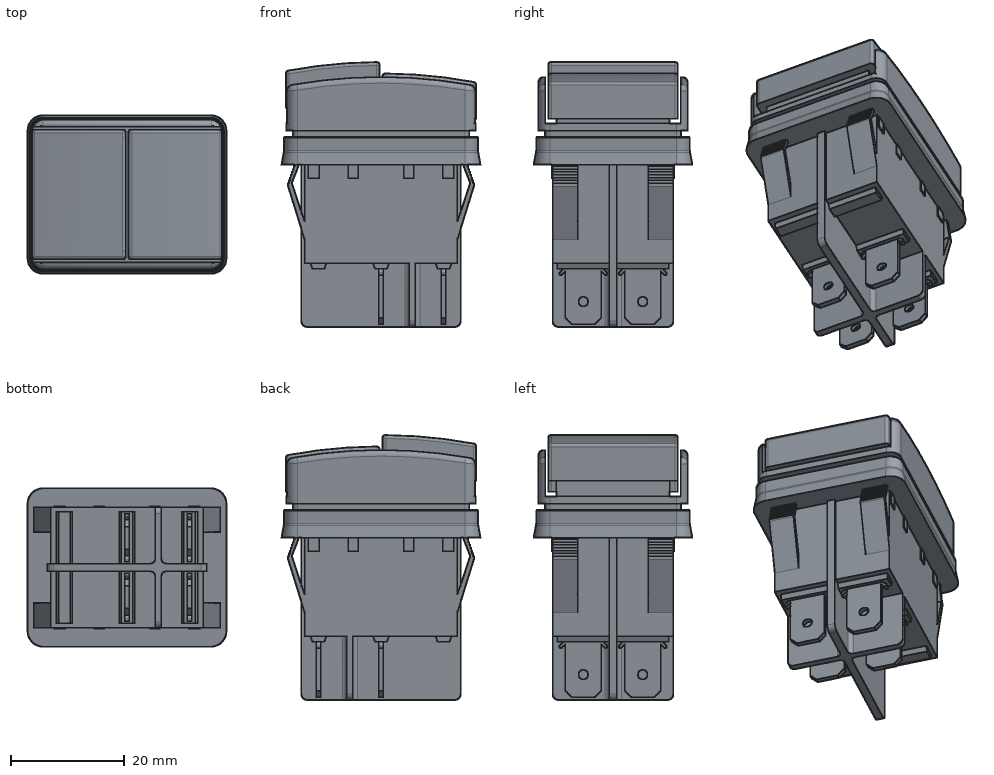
import cadquery as cq
import math


body_bottom_z = 11.2
bezel_bottom_z = 28.55
flare_top_z = 30.75
rim_bottom_z = 31.05
rim_edge_z = 33.25
rim_top_z = 33.4
housing_bottom_z = 34.55
floor_z = 35.8
wall_crown_z = 43.95
overall_height = 46.6

bezel_length = 35.0
bezel_width = 27.9
corner_x = 14.7
flare_bottom_radius = bezel_length / 2 - corner_x
corner_y = bezel_width / 2 - flare_bottom_radius
flare_top_radius = 2.4
rim_radius = 2.38
rim_edge_radius = 2.25
neck_radius = 0.85
housing_radius = 2.0

crown_radius = 89.0
wall_fillet = 1.03
channel_half_width = 11.9
cap_inner_x = 0.25
cap_outer_x = 16.75
cap_half_width = 11.4
cap_fillet = 0.55
raised_cap_bottom_z = 38.6
cap_travel = 2.0
pedestal_outer_x = 15.4
pedestal_half_width = 9.95

peak_x = cap_inner_x + cap_fillet
cap_crown_z = overall_height + crown_radius - math.sqrt(crown_radius**2 - peak_x**2)

body_length = 26.9
body_width = 21.25
body_half_x = body_length / 2
body_half_y = body_width / 2
pad_height = 2.38
pad_projection = 0.165
outer_pad_width = 1.95
outer_pad_x = 11.85
inner_pad_width = 1.75
inner_pad_x = 4.85

clip_width = 4.45
clip_bend_x = 16.35
clip_bend_z = 24.8
clip_foot_z = 15.42
clip_inner_foot_z = 18.6
clip_inner_bend_x = 15.65
clip_inner_bend_z = 25.3
clip_inner_top_x = 14.4
step_count = 7
stepped_height = 3.45
step_rise = stepped_height / step_count
step_run = 0.165

divider_half_x = 14.03
divider_thickness = 1.4
cross_x = 5.5
cross_thickness = 1.1
plate_corner_radius = 1.05
plate_joint_fillet = 0.8

terminal_pitch = 11.0
rib_height = 1.0
rib_top_width = 2.8
rib_bottom_width = 2.05
rib_length = 2 * 9.85
blade_y = 5.2
blade_width = 6.3
blade_thickness = 0.85
blade_bottom_z = 0.45
blade_chamfer = 1.15
blade_hole_diameter = 1.7
blade_hole_z = 4.47
barb_width = 0.55
barb_reach = 0.8
barb_tip_z = 9.4


def block(x_min, x_max, y_min, y_max, z_min, z_max):
    """Box given by its limits along each axis."""
    size = (x_max - x_min, y_max - y_min, z_max - z_min)
    return cq.Workplane("XY").box(*size, centered=False).translate((x_min, y_min, z_min))


def outline(radius):
    """Rounded rectangle with the shared corner centres."""
    return cq.Sketch().rect(2 * (corner_x + radius), 2 * (corner_y + radius)).vertices().fillet(radius)


def layer(bottom_radius, bottom_z, top_radius, top_z):
    """Rounded rectangular slab with straight or sloped sides."""
    bottom = outline(bottom_radius).moved(cq.Location(cq.Vector(0, 0, bottom_z)))
    top = outline(top_radius).moved(cq.Location(cq.Vector(0, 0, top_z)))
    return cq.Workplane("XY").placeSketch(bottom, top).loft(ruled=True)


def under_crown(x_min, x_max, half_width, bottom_z, crown_z):
    """Block below a cylinder whose axis runs along Y and whose crest is at X = 0."""
    def crown_at(x):
        return crown_z - crown_radius + math.sqrt(crown_radius**2 - x**2)

    x_mid = (x_min + x_max) / 2
    profile = (
        cq.Workplane("XZ")
        .moveTo(x_min, bottom_z)
        .lineTo(x_max, bottom_z)
        .lineTo(x_max, crown_at(x_max))
        .threePointArc((x_mid, crown_at(x_mid)), (x_min, crown_at(x_min)))
        .close()
    )
    return profile.extrude(half_width, both=True)


def make_bezel():
    """Flared bezel with a bevelled rim, and the neck above it."""
    flare = layer(flare_bottom_radius, bezel_bottom_z, flare_top_radius, flare_top_z)
    blend = layer(flare_top_radius, flare_top_z, rim_radius, rim_bottom_z)
    rim = layer(rim_radius, rim_bottom_z, rim_radius, rim_edge_z)
    edge = layer(rim_radius, rim_edge_z, rim_edge_radius, rim_top_z)
    neck = layer(neck_radius, rim_top_z, neck_radius, housing_bottom_z)
    return flare.union(blend).union(rim).union(edge).union(neck)


def make_housing():
    """Floor slab with two crowned side walls."""
    half_x = corner_x + housing_radius
    half_y = corner_y + housing_radius
    tall = layer(housing_radius, housing_bottom_z, housing_radius, cap_crown_z)
    crowned = tall.intersect(under_crown(-half_x, half_x, half_y, housing_bottom_z, wall_crown_z))
    rounded = crowned.faces(">Z").edges().fillet(wall_fillet)
    channel = block(-half_x, half_x, -channel_half_width, channel_half_width, floor_z, cap_crown_z)
    return rounded.cut(channel)


def make_cap(x_min, x_max, drop):
    """Rocker cap with every edge rounded except those of its flat bottom."""
    cap = under_crown(x_min, x_max, cap_half_width, raised_cap_bottom_z, cap_crown_z)
    cap = cap.edges("not <Z").fillet(cap_fillet)
    return cap.translate((0, 0, -drop))


def make_pedestal(x_min, x_max, top_z):
    """Block that carries a cap on the housing floor."""
    return block(x_min, x_max, -pedestal_half_width, pedestal_half_width, floor_z, top_z)


def make_rockers():
    """Raised cap on the -X side, pressed cap on the +X side, each on a pedestal."""
    pressed_bottom_z = raised_cap_bottom_z - cap_travel
    raised = make_cap(-cap_outer_x, -cap_inner_x, 0)
    pressed = make_cap(cap_inner_x, cap_outer_x, cap_travel)
    raised = raised.union(make_pedestal(-pedestal_outer_x, -cap_inner_x, raised_cap_bottom_z))
    pressed = pressed.union(make_pedestal(cap_inner_x, pedestal_outer_x, pressed_bottom_z))
    return raised.union(pressed)


def make_body():
    """Lower body with a row of small pads on both long sides."""
    body = block(-body_half_x, body_half_x, -body_half_y, body_half_y, body_bottom_z, bezel_bottom_z)
    pad_y = body_half_y + pad_projection
    pad_bottom_z = bezel_bottom_z - pad_height
    for centre, width in ((inner_pad_x, inner_pad_width), (outer_pad_x, outer_pad_width)):
        for x in (-centre, centre):
            pad = block(x - width / 2, x + width / 2, -pad_y, pad_y, pad_bottom_z, bezel_bottom_z)
            body = body.union(pad)
    return body


def make_clips():
    """Four bent spring clips, one at each end of the two short sides."""
    points = [(body_half_x, clip_foot_z), (clip_bend_x, clip_bend_z)]
    for step in range(step_count):
        x = clip_bend_x - step * step_run
        z = clip_bend_z + (step + 1) * step_rise
        points += [(x, z), (x - step_run, z)]
    points += [
        (clip_bend_x - step_count * step_run, bezel_bottom_z),
        (clip_inner_top_x, bezel_bottom_z),
        (clip_inner_bend_x, clip_inner_bend_z),
        (body_half_x, clip_inner_foot_z),
    ]
    clip = cq.Workplane("XZ", origin=(0, body_half_y, 0)).polyline(points).close().extrude(clip_width)
    pair = clip.union(clip.mirror("XZ"))
    return pair.union(pair.mirror("YZ"))


def make_dividers():
    """Long divider and cross plate with filleted joints."""
    half_thickness = divider_thickness / 2
    half_cross = cross_thickness / 2
    long_plate = block(
        -divider_half_x, divider_half_x, -half_thickness, half_thickness, 0, bezel_bottom_z
    )
    long_plate = long_plate.edges("|Y and <Z").fillet(plate_corner_radius)
    cross_plate = block(
        cross_x - half_cross, cross_x + half_cross, -body_half_y, body_half_y, 0, body_bottom_z
    )
    cross_plate = cross_plate.edges("|X and <Z").fillet(plate_corner_radius)
    plates = long_plate.union(cross_plate)
    joint = cq.selectors.BoxSelector(
        (cross_x - cross_thickness, -divider_thickness, 0),
        (cross_x + cross_thickness, divider_thickness, body_bottom_z),
    )
    return plates.edges("|Z").edges(joint).fillet(plate_joint_fillet)


def make_rib(x):
    """Tapered rib along Y under the body."""
    half_top = rib_top_width / 2
    half_bottom = rib_bottom_width / 2
    bottom_z = body_bottom_z - rib_height
    points = [
        (x - half_top, body_bottom_z),
        (x - half_bottom, bottom_z),
        (x + half_bottom, bottom_z),
        (x + half_top, body_bottom_z),
    ]
    return cq.Workplane("XZ").polyline(points).close().extrude(rib_length / 2, both=True)


def make_terminal(x, y):
    """Blade with a hole, cut lower corners and two slanted barbs at its root."""
    half_width = blade_width / 2
    half_thickness = blade_thickness / 2
    top_z = body_bottom_z - rib_height
    blade = block(
        x - half_thickness, x + half_thickness, y - half_width, y + half_width, blade_bottom_z, top_z
    )
    blade = blade.edges("|X and <Z").chamfer(blade_chamfer)
    hole = (
        cq.Workplane("YZ", origin=(x, y, blade_hole_z))
        .circle(blade_hole_diameter / 2)
        .extrude(blade_thickness, both=True)
    )
    blade = blade.cut(hole)

    barb_drop = top_z - barb_tip_z
    for side in (-1, 1):
        mid_y = y + side * (half_width + barb_reach - barb_drop / 2)
        strip_length = barb_drop * math.sqrt(2) + barb_width
        barb = (
            cq.Workplane("YZ", origin=(x, mid_y, (top_z + barb_tip_z) / 2))
            .slot2D(strip_length, barb_width, -45 * side)
            .extrude(half_thickness, both=True)
        )
        blade = blade.union(barb)
    return blade


def make_terminals():
    """Three ribs, with a pair of blades under the middle one and the +X one."""
    terminals = make_rib(-terminal_pitch)
    for x in (0, terminal_pitch):
        terminals = terminals.union(make_rib(x))
        for y in (-blade_y, blade_y):
            terminals = terminals.union(make_terminal(x, y))
    return terminals


result = (
    make_bezel()
    .union(make_housing())
    .union(make_rockers())
    .union(make_body())
    .union(make_clips())
    .union(make_dividers())
    .union(make_terminals())
)